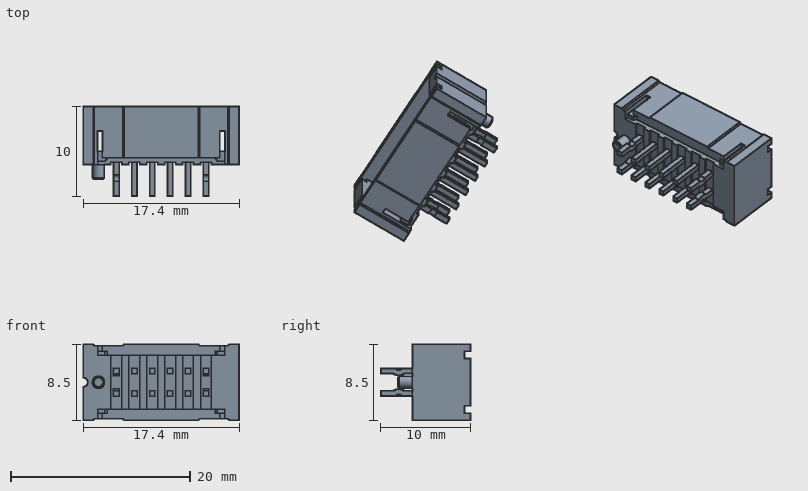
import cadquery as cq

body_width = 17.4
body_depth = 6.5
body_height = 8.5
half_width = body_width / 2
half_height = body_height / 2

relief_depth = 0.16
relief_outer_x = half_width - 1.1
relief_inner_x = half_width - 4.57

wall = 0.8
floor_thickness = 1.5
cavity_half_width = half_width - 1.6
cavity_half_height = half_height - wall

notch_height = 0.8
notch_depth = 0.65

step_depth = 0.75
step_height = 1.25
slot_width = 0.55
slot_length = 3.75
tab_length = 1.1
tab_rear_y = 0.4
tab_chamfer = 0.27

key_radius = 0.5

peg_x = -7.0
peg_diameter = 1.35
peg_length = 1.6
peg_chamfer = 0.15

pin_columns = 6
pin_pitch = 2.0
row_spacing = 2.5
pin_size = 0.6
pin_length = 3.5
kinked_pin_width = 0.65
kink_y = -1.5
kink_rise = 0.2
kink_bump_width = 1.28
kink_dent_width = 0.72
pin_embed = 0.5

channel_width = 1.2
channel_depth = 0.25

column_xs = [(i - (pin_columns - 1) / 2) * pin_pitch for i in range(pin_columns)]
sides = (-1, 1)


def block(x0, x1, y0, y1, z0, z1):
    """Box between opposite corners given in any order."""
    size = (abs(x1 - x0), abs(y1 - y0), abs(z1 - z0))
    center = ((x0 + x1) / 2, (y0 + y1) / 2, (z0 + z1) / 2)
    return cq.Workplane("XY").box(*size).translate(center)


def make_shell():
    """Outer block with its side recesses, cavity and rim notches."""
    shell = block(-half_width, half_width, 0, body_depth, -half_height, half_height)
    for side_x in sides:
        for side_z in sides:
            recess = (
                cq.Workplane("XZ")
                .moveTo(side_x * relief_outer_x, side_z * half_height)
                .lineTo(side_x * (relief_outer_x - relief_depth), side_z * (half_height - relief_depth))
                .lineTo(side_x * (relief_inner_x + relief_depth), side_z * (half_height - relief_depth))
                .lineTo(side_x * relief_inner_x, side_z * half_height)
                .close()
                .extrude(-body_depth)
            )
            shell = shell.cut(recess)
    shell = shell.cut(block(
        -cavity_half_width, cavity_half_width,
        floor_thickness, body_depth,
        -cavity_half_height, cavity_half_height,
    ))
    for side_z in sides:
        shell = shell.cut(block(
            -half_width, half_width,
            body_depth - notch_depth, body_depth,
            side_z * cavity_half_height, side_z * (cavity_half_height - notch_height),
        ))
    return shell


def cut_rear_steps(housing):
    """Step back the long rear edges, open the end slots and add the corner tabs."""
    for side_z in sides:
        step_z = side_z * (half_height - step_height)
        wall_z = side_z * cavity_half_height
        outer_z = side_z * half_height
        housing = housing.cut(block(-cavity_half_width, cavity_half_width, 0, step_depth, step_z, outer_z))
        for side_x in sides:
            outer_x = side_x * cavity_half_width
            slot_inner_x = side_x * (cavity_half_width - slot_width)
            housing = housing.cut(block(outer_x, slot_inner_x, 0, slot_length, wall_z, outer_z))
            tab_end_x = side_x * (cavity_half_width - tab_length)
            tab_flat_x = side_x * (cavity_half_width - tab_length + tab_chamfer)
            tab = (
                cq.Workplane("XY", origin=(0, 0, step_z))
                .moveTo(outer_x, tab_rear_y)
                .lineTo(tab_flat_x, tab_rear_y)
                .lineTo(tab_end_x, step_depth)
                .lineTo(outer_x, step_depth)
                .close()
                .extrude(wall_z - step_z)
            )
            housing = housing.union(tab)
    return housing


def cut_rear_channels(housing):
    """Channels across the rear face, centred on the contact columns."""
    channel_top = half_height - step_height
    for x in column_xs:
        housing = housing.cut(block(
            x - channel_width / 2, x + channel_width / 2,
            0, channel_depth,
            -channel_top, channel_top,
        ))
    return housing


def cut_key_groove(housing):
    groove = (
        cq.Workplane("XZ", origin=(-half_width, 0, 0))
        .circle(key_radius)
        .extrude(-body_depth)
    )
    return housing.cut(groove)


def make_peg():
    return (
        cq.Workplane("XZ", origin=(peg_x, 0, 0))
        .circle(peg_diameter / 2)
        .extrude(peg_length)
        .faces("<Y")
        .chamfer(peg_chamfer)
    )


def make_straight_pin(x, side_z):
    z = side_z * row_spacing / 2
    return block(
        x - pin_size / 2, x + pin_size / 2,
        -pin_length, pin_embed,
        z - pin_size / 2, z + pin_size / 2,
    )


def make_kinked_pin(x, side_z):
    """Retention pin pressed towards the centre plane part way along its length."""
    outer_z = side_z * (row_spacing + pin_size) / 2
    inner_z = side_z * (row_spacing - pin_size) / 2
    rise = side_z * kink_rise
    return (
        cq.Workplane("YZ", origin=(x - kinked_pin_width / 2, 0, 0))
        .moveTo(pin_embed, outer_z)
        .lineTo(kink_y + kink_dent_width / 2, outer_z)
        .threePointArc((kink_y, outer_z - rise), (kink_y - kink_dent_width / 2, outer_z))
        .lineTo(-pin_length, outer_z)
        .lineTo(-pin_length, inner_z)
        .lineTo(kink_y - kink_bump_width / 2, inner_z)
        .threePointArc((kink_y, inner_z - rise), (kink_y + kink_bump_width / 2, inner_z))
        .lineTo(pin_embed, inner_z)
        .close()
        .extrude(kinked_pin_width)
    )


def add_pins(housing):
    """Two rows of contacts; the end columns are kinked to grip the board."""
    end_columns = (column_xs[0], column_xs[-1])
    for x in column_xs:
        for side_z in sides:
            if x in end_columns:
                housing = housing.union(make_kinked_pin(x, side_z))
            else:
                housing = housing.union(make_straight_pin(x, side_z))
    return housing


housing = make_shell()
housing = cut_rear_steps(housing)
housing = cut_rear_channels(housing)
housing = cut_key_groove(housing)
housing = housing.union(make_peg())
result = add_pins(housing)